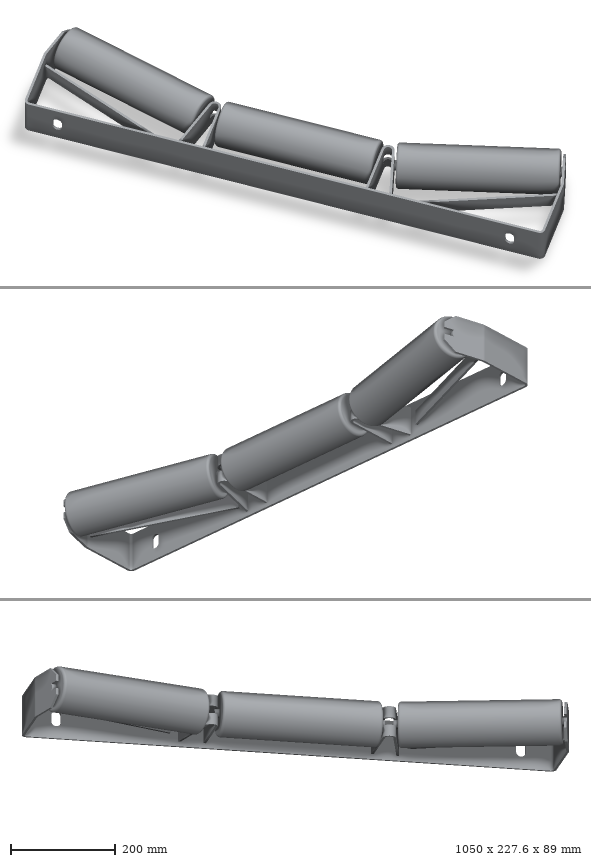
import cadquery as cq
import math

frame_length = 1050.0
strip_width = 80.0
plate = 5.0
corner_radius = 10.0
tilt_radius = 16.0
arm_tip_y = 215.0
tip_chamfer_length = 25.0
tip_chamfer_width = 20.0

mount_x = 457.0
mount_slot_length = 30.0
mount_slot_width = 19.0

roller_diameter = 89.0
roller_length = 315.0
roller_edge_radius = 5.0
side_clearance = 4.7
tilt = 15.0
middle_y = 99.0
outer_x = 348.0
outer_y = 145.0
shaft_diameter = 21.0
shaft_flat_width = 15.0

bracket_width = 60.0
fold_top_y = 125.0

brace_width = 30.0
brace_top_y = 119.0
brace_foot_x = 234.0

sin_t = math.sin(math.radians(tilt))
cos_t = math.cos(math.radians(tilt))
half_frame = frame_length / 2
half_mouth = roller_length / 2 + side_clearance
half_shaft = half_mouth + plate
arm_face = half_shaft


def arm_x(y, distance):
    """Distance from the centre plane, at height y, of a tilted face lying
    `distance` outward from the middle of the outer roller along its axis."""
    return outer_x + (distance - (y - outer_y) * sin_t) / cos_t


def arm_y(x, distance):
    """Height at which the same tilted face stands at x from the centre plane."""
    return outer_y + (distance - (x - outer_x) * cos_t) / sin_t


def extrude_mid(sketch, width):
    """Extrude an XY outline evenly about the plane Z = 0."""
    return sketch.extrude(width).translate((0, 0, -width / 2))


def mirrored(body):
    return body.mirror("YZ")


def place_outer(body):
    """Move a body built about the origin along X to the right outer roller."""
    return body.rotate((0, 0, 0), (0, 0, 1), tilt).translate((outer_x, outer_y, 0))


def make_rod(diameter, start, length):
    """Round rod along X, beginning at X = start."""
    return cq.Workplane("YZ").circle(diameter / 2).extrude(length).translate((start, 0, 0))


def make_shaft_slot(start, length, height):
    """Cutter from X = start with a round bottom, just deep enough for a shaft along the X axis."""
    bottom_y = (shaft_flat_width - shaft_diameter) / 2
    round_bottom = make_rod(shaft_flat_width, start, length).translate((0, bottom_y, 0))
    open_part = cq.Workplane("XY").box(
        length, height - bottom_y, shaft_flat_width, centered=(False, False, True)
    )
    return open_part.translate((start, bottom_y, 0)).union(round_bottom)


def make_roller():
    """Drum on a shaft along the X axis; the shaft is flattened to fit the slots."""
    drum = make_rod(roller_diameter, -roller_length / 2, roller_length)
    drum = drum.faces("|X").edges().fillet(roller_edge_radius)
    shaft = make_rod(shaft_diameter, -half_shaft, 2 * half_shaft)
    shaft = shaft.intersect(make_shaft_slot(-half_shaft, 2 * half_shaft, shaft_diameter))
    return drum.union(shaft)


def frame_half_outline(offset):
    """Right half of the strip surface lying `offset` inside its outer surface, base first."""
    side_x = half_frame - offset
    face = arm_face - offset
    tip_y = arm_tip_y - offset * sin_t
    return [
        (side_x, offset),
        (side_x, arm_y(side_x, face)),
        (arm_x(tip_y, face), tip_y),
    ]


def make_frame():
    outer = frame_half_outline(0)
    inner = frame_half_outline(plate)
    right_side = outer + inner[::-1]
    left_side = [(-x, y) for x, y in reversed(right_side)]
    frame = extrude_mid(cq.Workplane("XY").polyline(right_side + left_side).close(), strip_width)

    for points, inset in ((outer, 0), (inner, plate)):
        for (x, y), radius in zip(points, (corner_radius, tilt_radius)):
            for side in (-1, 1):
                bend = cq.selectors.NearestToPointSelector((side * x, y, 0))
                frame = frame.edges(bend).fillet(radius - inset)
    return frame


def cut_arm_tips(frame):
    """Chamfer the corners of each arm tip and open a shaft slot between them."""
    tip_height = (arm_tip_y - outer_y - half_shaft * sin_t) / cos_t
    edge_z = strip_width / 2
    chamfer = (
        cq.Workplane("YZ")
        .moveTo(tip_height, edge_z)
        .lineTo(tip_height - tip_chamfer_length, edge_z)
        .lineTo(tip_height, edge_z - tip_chamfer_width)
        .close()
        .extrude(plate)
        .translate((half_mouth, 0, 0))
    )
    slot = make_shaft_slot(half_mouth, plate, tip_height)
    for cutter in (slot, chamfer, chamfer.mirror("XY")):
        right_cutter = place_outer(cutter)
        frame = frame.cut(right_cutter).cut(mirrored(right_cutter))
    return frame


def cut_mounting_slots(frame):
    slots = (
        cq.Workplane("XZ")
        .pushPoints([(-mount_x, 0), (mount_x, 0)])
        .slot2D(mount_slot_length, mount_slot_width, 90)
        .extrude(-plate)
    )
    return frame.cut(slots)


def make_right_bracket():
    """Sheet folded over a rounded top: one upright leg and one leg tilted with the outer roller."""
    tilted_face = -half_mouth
    apex_y = arm_y(half_mouth, tilted_face)
    fold_radius = (apex_y - fold_top_y) / ((1 + cos_t) / sin_t - 1)
    fold_x = half_mouth + fold_radius
    fold_y = fold_top_y - fold_radius
    inner_radius = fold_radius - plate
    mid_angle = math.radians((180 + tilt) / 2)

    def fold_point(radius, angle):
        return (fold_x + radius * math.cos(angle), fold_y + radius * math.sin(angle))

    tilt_angle = math.radians(tilt)
    profile = (
        cq.Workplane("XY")
        .moveTo(half_mouth, plate)
        .lineTo(half_mouth, fold_y)
        .threePointArc(fold_point(fold_radius, mid_angle), fold_point(fold_radius, tilt_angle))
        .lineTo(arm_x(plate, tilted_face), plate)
        .lineTo(arm_x(plate, tilted_face - plate), plate)
        .lineTo(*fold_point(inner_radius, tilt_angle))
        .threePointArc(fold_point(inner_radius, mid_angle), fold_point(inner_radius, math.pi))
        .lineTo(half_shaft, plate)
        .close()
    )
    bracket = extrude_mid(profile, bracket_width)

    slot_height = fold_top_y - middle_y
    upright_slot = make_shaft_slot(half_mouth, 2 * fold_radius - plate, slot_height)
    tilted_slot = make_shaft_slot(-half_shaft, plate, slot_height)
    return bracket.cut(upright_slot.translate((0, middle_y, 0))).cut(place_outer(tilted_slot))


def make_right_brace():
    """Flat bar leaning from the frame base to the frame arm."""
    wall_x = half_frame - plate
    run = wall_x - brace_foot_x
    rise = brace_top_y - plate
    slope = math.degrees(math.atan2(rise, run))
    bar = cq.Workplane("XY").box(
        math.hypot(run, rise), plate, brace_width, centered=(False, False, True)
    )
    return bar.rotate((0, 0, 0), (0, 0, 1), slope).translate((brace_foot_x, plate, 0))


frame = cut_mounting_slots(cut_arm_tips(make_frame()))
middle_roller = make_roller().translate((0, middle_y, 0))

side_bodies = []
for right_body in (place_outer(make_roller()), make_right_bracket(), make_right_brace()):
    side_bodies += [right_body.val(), mirrored(right_body).val()]

result = cq.Compound.makeCompound([frame.val(), middle_roller.val(), *side_bodies])